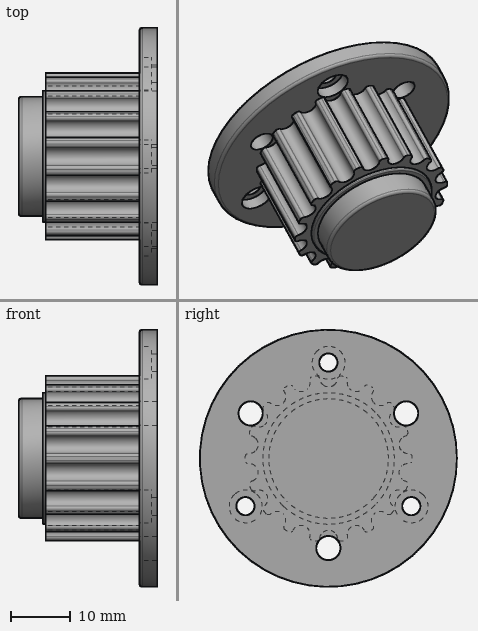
import cadquery as cq
import math

total_length = 23.2
hub_length = 4.0
collar_length = 0.5
flange_thickness = 3.0
collar_start = hub_length
teeth_start = collar_start + collar_length
flange_start = total_length - flange_thickness
teeth_length = flange_start - teeth_start

hub_diameter = 20.0
hub_rounding = 0.5
collar_diameter = 21.98
collar_rounding = 0.2
flange_diameter = 43.0
flange_rounding = 0.5

tooth_count = 18
tip_radius = 13.95
tip_rounding = 0.55
groove_radius = 1.5
groove_center_radius = 13.48

holes_per_circle = 3
screw_circle_radius = 16.0
screw_hole_diameter = 3.0
counterbore_diameter = 5.5
counterbore_depth = 2.0
screw_start_angle = 90.0
plain_circle_radius = 15.0
plain_hole_diameter = 4.0
plain_start_angle = 30.0


def polar(radius, degrees):
    """Point in the YZ plane, with the angle measured from +Y toward +Z."""
    angle = math.radians(degrees)
    return radius * math.cos(angle), radius * math.sin(angle)


def toward(start, end, distance):
    """Point at a distance from start along the line to end."""
    fraction = distance / math.dist(start, end)
    return (
        start[0] + fraction * (end[0] - start[0]),
        start[1] + fraction * (end[1] - start[1]),
    )


def midpoint(first, second):
    return (first[0] + second[0]) / 2, (first[1] + second[1]) / 2


def rounded_disc(start, length, diameter, rounding):
    """Disc along X with the rim of its -X face rounded."""
    disc = cq.Workplane("YZ", origin=(start, 0, 0)).circle(diameter / 2).extrude(length)
    return disc.faces("<X").edges().fillet(rounding)


def tooth_ring():
    """Toothed body: round grooves joined to the tooth tips by tangent corner arcs."""
    pitch = 360.0 / tooth_count
    corner_radius = tip_radius - tip_rounding
    center_gap = groove_radius + tip_rounding
    corner_cosine = (corner_radius**2 + groove_center_radius**2 - center_gap**2) / (
        2 * corner_radius * groove_center_radius
    )
    corner_offset = math.degrees(math.acos(corner_cosine))

    profile = cq.Workplane("YZ", origin=(teeth_start, 0, 0))
    profile = profile.moveTo(*polar(tip_radius, corner_offset - pitch / 2))
    for index in range(tooth_count):
        tooth_angle = index * pitch
        groove_angle = tooth_angle + pitch / 2
        groove_center = polar(groove_center_radius, groove_angle)
        groove_bottom = polar(groove_center_radius - groove_radius, groove_angle)
        near_corner = polar(corner_radius, groove_angle - corner_offset)
        far_corner = polar(corner_radius, groove_angle + corner_offset)
        near_flank = toward(groove_center, near_corner, groove_radius)
        far_flank = toward(groove_center, far_corner, groove_radius)
        near_tip = polar(tip_radius, groove_angle - corner_offset)
        far_tip = polar(tip_radius, groove_angle + corner_offset)
        near_middle = toward(near_corner, midpoint(near_tip, near_flank), tip_rounding)
        far_middle = toward(far_corner, midpoint(far_tip, far_flank), tip_rounding)
        profile = (
            profile.threePointArc(polar(tip_radius, tooth_angle), near_tip)
            .threePointArc(near_middle, near_flank)
            .threePointArc(groove_bottom, far_flank)
            .threePointArc(far_middle, far_tip)
        )
    return profile.close().extrude(teeth_length)


def flange_holes(circle_radius, start_angle, diameter, depth):
    """Cutters on a bolt circle, sunk from the toothed face of the flange."""
    return (
        cq.Workplane("YZ", origin=(flange_start, 0, 0))
        .polarArray(circle_radius, start_angle, 360, holes_per_circle)
        .circle(diameter / 2)
        .extrude(depth)
    )


def drilled_flange():
    """Flange with alternating counterbored screw holes and plain holes."""
    flange = rounded_disc(flange_start, flange_thickness, flange_diameter, flange_rounding)
    screw_holes = flange_holes(screw_circle_radius, screw_start_angle, screw_hole_diameter, flange_thickness)
    counterbores = flange_holes(screw_circle_radius, screw_start_angle, counterbore_diameter, counterbore_depth)
    plain_holes = flange_holes(plain_circle_radius, plain_start_angle, plain_hole_diameter, flange_thickness)
    return flange.cut(screw_holes).cut(counterbores).cut(plain_holes)


hub = rounded_disc(0, teeth_start, hub_diameter, hub_rounding)
collar = rounded_disc(collar_start, collar_length, collar_diameter, collar_rounding)
result = drilled_flange().union(tooth_ring()).union(collar).union(hub)